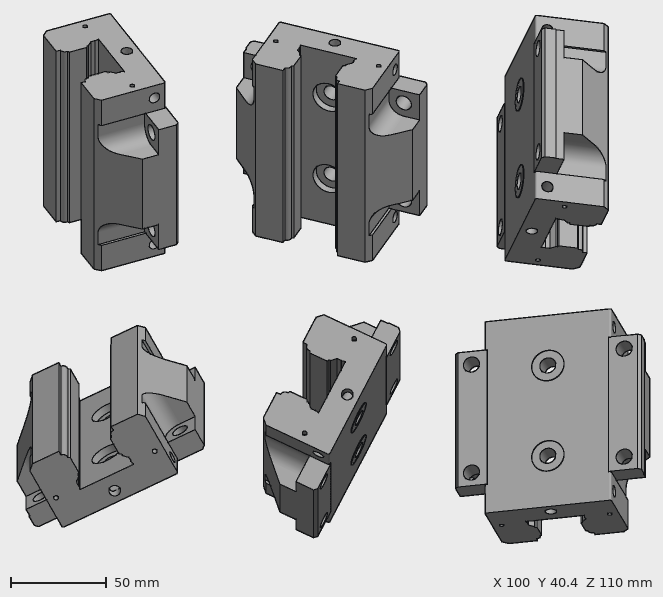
import cadquery as cq
import math


total_length = 110.0
body_length = 77.2
cap_thickness = (total_length - body_length) / 2

overall_width = 100.0
flange_half_width = overall_width / 2
body_height = 40.4
cap_half_width = 34.0
cap_height = 39.9
cap_corner_radius = 1.0
foot_half_width = 30.9
flange_corner_chamfer = 1.6
datum_step_depth = 0.4
datum_step_height = 32.8

pad_inner_half_width = 32.6

slot_half_width = 15.4
slot_floor = 24.6
slot_floor_half_width = 15.8
slot_ridge_half_width = 15.2
slot_ridge_y = 22.4
ball_track_radius = 2.5
ball_track_low = 2.4
shoulder_half_width = slot_half_width - ball_track_radius
lip_half_width = 11.8
lip_low = 6.0
lip_high = 16.0
lip_slant = 0.7
shoulder_top = 17.5

pocket_floor = 28.5
pocket_inner_x = pad_inner_half_width
pocket_inner_z = 22.5
pocket_radius = 8.5

mounting_hole_diameter = 8.6
flange_hole_x = 41.0
flange_hole_z = 31.0
center_hole_z = 26.0
counterbore_diameter = 17.4
counterbore_depth = 4.4
lube_hole_diameter = 6.0
lube_hole_y = 33.5
lube_hole_z = 47.1
screw_hole_diameter = 2.4
screw_hole_x = 29.0
screw_hole_y = 23.1
screw_hole_depth = 5.5
drill_tip_angle = 118.0


def prism(outline, length):
    """Extrude an XY outline along Z, centred on Z = 0."""
    return outline.close().extrude(length / 2, both=True)


def box(x0, x1, y0, y1, z0, z1):
    """Box between two opposite corners."""
    return cq.Workplane("XY").box(x1 - x0, y1 - y0, z1 - z0, centered=False).translate((x0, y0, z0))


def cylinder_along_y(diameter, x, z, y_start, y_end):
    """Cylinder parallel to Y between two heights."""
    plane = cq.Plane(origin=(x, y_start, z), xDir=(1, 0, 0), normal=(0, 1, 0))
    return cq.Workplane(plane).circle(diameter / 2).extrude(y_end - y_start)


def lower_slope(x):
    """Height of the 45 degree slope at half-width x."""
    return x - foot_half_width


def steel_body():
    """Flanged middle section with raised mounting pads along both sides."""
    stepped_half_width = flange_half_width - datum_step_depth
    outline = (
        cq.Workplane("XY")
        .moveTo(-foot_half_width, 0)
        .lineTo(foot_half_width, 0)
        .lineTo(flange_half_width, lower_slope(flange_half_width))
        .lineTo(flange_half_width, body_height - flange_corner_chamfer)
        .lineTo(flange_half_width - flange_corner_chamfer, body_height)
        .lineTo(pad_inner_half_width, body_height)
        .lineTo(pad_inner_half_width, cap_height)
        .lineTo(-pad_inner_half_width, cap_height)
        .lineTo(-pad_inner_half_width, body_height)
        .lineTo(flange_corner_chamfer - flange_half_width, body_height)
        .lineTo(-flange_half_width, body_height - flange_corner_chamfer)
        .lineTo(-flange_half_width, datum_step_height)
        .lineTo(-stepped_half_width, datum_step_height)
        .lineTo(-stepped_half_width, lower_slope(stepped_half_width))
    )
    return prism(outline, body_length)


def end_cap():
    """End cap block, starting at Z = 0."""
    outline = (
        cq.Workplane("XY")
        .moveTo(-foot_half_width, 0)
        .lineTo(foot_half_width, 0)
        .lineTo(cap_half_width, lower_slope(cap_half_width))
        .lineTo(cap_half_width, cap_height)
        .lineTo(-cap_half_width, cap_height)
        .lineTo(-cap_half_width, lower_slope(cap_half_width))
        .close()
    )
    return outline.extrude(cap_thickness).edges("|Z and >Y").fillet(cap_corner_radius)


def half_slot():
    """+X half of the rail slot, with the ball track shoulder and the lip."""
    outline = (
        cq.Workplane("XY")
        .moveTo(0, 0)
        .lineTo(slot_half_width, 0)
        .lineTo(slot_half_width, ball_track_low)
        .radiusArc((shoulder_half_width, ball_track_low + ball_track_radius), ball_track_radius)
        .lineTo(shoulder_half_width, lip_low - lip_slant)
        .lineTo(lip_half_width, lip_low)
        .lineTo(lip_half_width, lip_high)
        .lineTo(shoulder_half_width, lip_high + lip_slant)
        .lineTo(shoulder_half_width, shoulder_top)
        .lineTo(slot_half_width, shoulder_top + ball_track_radius)
        .lineTo(slot_half_width, slot_ridge_y)
        .lineTo(slot_ridge_half_width, slot_ridge_y)
        .lineTo(slot_floor_half_width, slot_floor)
        .lineTo(0, slot_floor)
    )
    return prism(outline, total_length)


def flange_pocket():
    """Clearance under the flange at the +X +Z corner, rounded at its inner corner."""
    pocket = box(
        pocket_inner_x, flange_half_width,
        0, pocket_floor,
        pocket_inner_z, body_length / 2,
    )
    return pocket.edges("|Y and <X and <Z").fillet(pocket_radius)


def lube_end_hole():
    """Blind hole from the +Z end down to the axis of the cross hole."""
    return (
        cq.Workplane("XY", origin=(0, lube_hole_y, lube_hole_z))
        .circle(lube_hole_diameter / 2)
        .extrude(total_length / 2 - lube_hole_z)
    )


def lube_cross_hole():
    """Hole through the +Z end cap from side to side."""
    return (
        cq.Workplane("YZ", origin=(0, lube_hole_y, lube_hole_z))
        .circle(lube_hole_diameter / 2)
        .extrude(cap_half_width, both=True)
    )


def screw_hole():
    """Small blind hole in the +Z end on the +X side, with a conical drill tip."""
    radius = screw_hole_diameter / 2
    tip_length = radius / math.tan(math.radians(drill_tip_angle / 2))
    bottom = total_length / 2 - screw_hole_depth
    half_section = (
        cq.Workplane("XZ")
        .moveTo(0, bottom - tip_length)
        .lineTo(radius, bottom)
        .lineTo(radius, total_length / 2)
        .lineTo(0, total_length / 2)
        .close()
    )
    drill = half_section.revolve(360, (0, 0, 0), (0, 1, 0))
    return drill.translate((screw_hole_x, screw_hole_y, 0))


def with_mirror(shape, plane):
    """A shape together with its mirror image."""
    return shape.union(shape.mirror(plane))


upper_cap = end_cap().translate((0, 0, body_length / 2))
result = steel_body().union(with_mirror(upper_cap, "XY"))
for z in (-center_hole_z, center_hole_z):
    result = result.union(cylinder_along_y(counterbore_diameter, 0, z, slot_floor, body_height))

result = result.cut(with_mirror(half_slot(), "YZ"))
pocket_pair = with_mirror(flange_pocket(), "YZ")
result = result.cut(with_mirror(pocket_pair, "XY"))

for side in (-1, 1):
    for x in (-flange_hole_x, flange_hole_x):
        result = result.cut(
            cylinder_along_y(mounting_hole_diameter, x, side * flange_hole_z, 0, body_height)
        )
    z = side * center_hole_z
    result = result.cut(cylinder_along_y(mounting_hole_diameter, 0, z, 0, body_height))
    result = result.cut(
        cylinder_along_y(counterbore_diameter, 0, z, slot_floor, slot_floor + counterbore_depth)
    )

for cutter in (lube_end_hole(), lube_cross_hole(), with_mirror(screw_hole(), "YZ")):
    result = result.cut(with_mirror(cutter, "XY"))